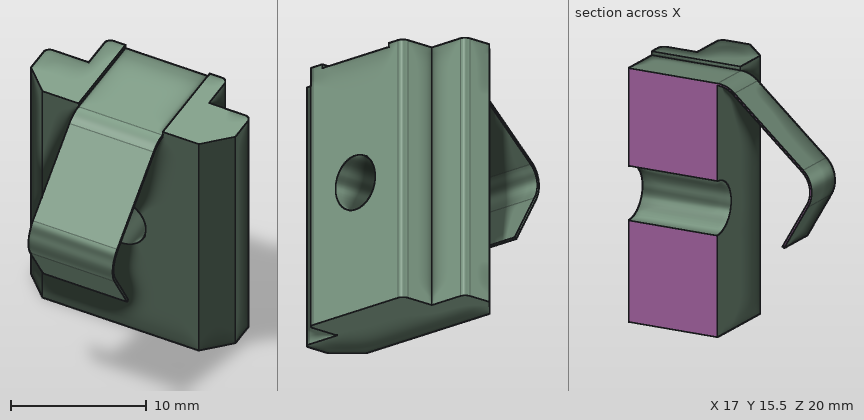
import cadquery as cq
import math

height = 20
flange_width = 17
flange_depth = 4.5
stem_width = 10
stem_depth = 3
front_chamfer = 2
corner_radius = 0.5
hole_diameter = 4.2

spring_width = 7
spring_thickness = 0.2
spring_recess = 0.3
spring_reach = 8
bend_radius = 2.2
slope_angle = 41
return_angle = 30
return_length = 4.1

body_depth = flange_depth + stem_depth
spring_top = height - spring_recess


def make_block():
    flange = (
        cq.Workplane("XY")
        .box(flange_width, flange_depth, height, centered=(True, False, False))
        .edges("|Z and <Y")
        .chamfer(front_chamfer)
        .edges("|Z and >Y")
        .fillet(corner_radius)
    )
    stem = (
        cq.Workplane("XY")
        .box(stem_width, body_depth, height, centered=(True, False, False))
        .edges("|Z and >Y")
        .fillet(corner_radius)
    )
    groove = (
        cq.Workplane("XY", origin=(0, 0, spring_top))
        .box(spring_width, body_depth, spring_recess, centered=(True, False, False))
    )
    hole = (
        cq.Workplane("XZ", origin=(0, 0, height / 2))
        .circle(hole_diameter / 2)
        .extrude(-body_depth)
    )
    return flange.union(stem).cut(groove).cut(hole)


def on_bend(center, radius, angle):
    """Point (Y, Z) on a bend; angle in degrees, from -Y towards +Z."""
    a = math.radians(angle)
    return (center[0] - radius * math.cos(a), center[1] + radius * math.sin(a))


def make_spring():
    inner_radius = bend_radius - spring_thickness
    slope = math.radians(slope_angle)
    lean = math.radians(return_angle)

    center_run = spring_reach - bend_radius
    upper_center = (0, spring_top - bend_radius)
    lower_center = (-center_run, upper_center[1] - center_run * math.tan(slope))

    top = 90
    leg_normal = 90 - slope_angle
    upper_middle = (top + leg_normal) / 2
    lower_end = -return_angle
    lower_middle = (leg_normal + lower_end) / 2

    def leg_tip(radius):
        y, z = on_bend(lower_center, radius, lower_end)
        return (y + return_length * math.sin(lean), z - return_length * math.cos(lean))

    profile = (
        cq.Workplane("YZ", origin=(-spring_width / 2, 0, 0))
        .moveTo(*on_bend(upper_center, bend_radius, top))
        .threePointArc(
            on_bend(upper_center, bend_radius, upper_middle),
            on_bend(upper_center, bend_radius, leg_normal),
        )
        .lineTo(*on_bend(lower_center, bend_radius, leg_normal))
        .threePointArc(
            on_bend(lower_center, bend_radius, lower_middle),
            on_bend(lower_center, bend_radius, lower_end),
        )
        .lineTo(*leg_tip(bend_radius))
        .lineTo(*leg_tip(inner_radius))
        .lineTo(*on_bend(lower_center, inner_radius, lower_end))
        .threePointArc(
            on_bend(lower_center, inner_radius, lower_middle),
            on_bend(lower_center, inner_radius, leg_normal),
        )
        .lineTo(*on_bend(upper_center, inner_radius, leg_normal))
        .threePointArc(
            on_bend(upper_center, inner_radius, upper_middle),
            on_bend(upper_center, inner_radius, top),
        )
        .close()
    )
    return profile.extrude(spring_width)


result = make_block().union(make_spring())